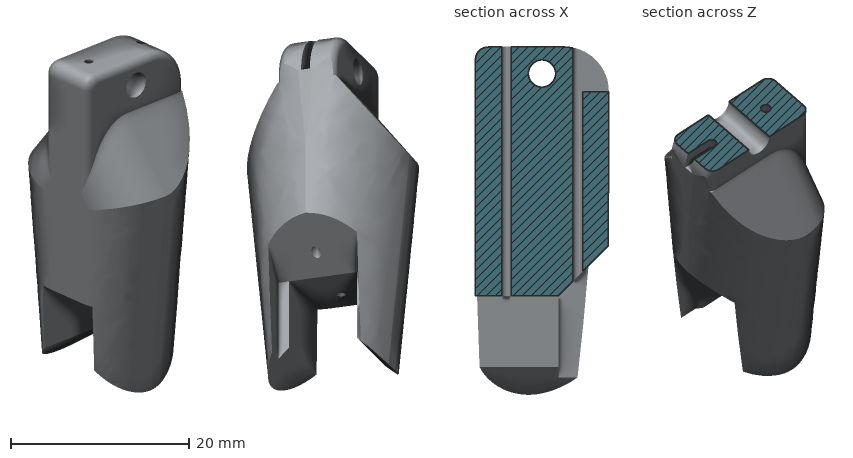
import cadquery as cq
import math

height = 39.02
front_y = -6.0
back_y = 8.97
clearance = 7.8

shoulder_z = 24.9
shoulder_half_width = 9.87
tip_half_width = 7.37
lean = (shoulder_half_width - tip_half_width) / shoulder_z

corner_radius = -front_y
corner_x = shoulder_half_width - corner_radius
back_radius = (corner_x**2 + back_y**2 - corner_radius**2) / (2 * (back_y - corner_radius))
back_center_y = back_y - back_radius

tab_width = 7.0
tab_edge_fillet = 1.0
tab_front_fillet = 1.5
tab_back_radius = 5.0
tab_bottom_z = 19.5

cap_top_z = 32.97
cap_slope = (cap_top_z - shoulder_z) / (shoulder_half_width - tab_width / 2)

notch_half_width = 4.05
notch_top_z = 11.1
leg_inner_rise = 3.12
pocket_half_width = 5.3
pocket_back_z = 16.75

cross_hole_diameter = 3.0
cross_hole_y = 1.5
cross_hole_z = 36.0
cord_diameter = 1.05
cord_front_y = -2.5
cord_back_y = 5.5
cord_groove_floor_z = height - tab_back_radius


def mirrored(half):
    """Join a half with its mirror image across the middle plane."""
    return half.union(half.mirror("YZ"))


def centered_box(half_width, y_min, y_max, z_min, z_max):
    """Box that is symmetric about the middle plane."""
    return cq.Workplane("XY").box(
        2 * half_width, y_max - y_min, z_max - z_min, centered=(True, False, False)
    ).translate((0, y_min, z_min))


def arc_point(center_x, center_y, radius, angle):
    """Point of a section arc at an angle from the X axis."""
    return (center_x + radius * math.cos(angle), center_y + radius * math.sin(angle))


def leaning_half():
    """Right half of the body: the shoulder section swept along the leaning side."""
    blend = math.atan2(-back_center_y, corner_x)
    shift = -lean * shoulder_z
    inner_x = -shoulder_half_width
    section = (
        cq.Workplane("XY")
        .moveTo(inner_x, front_y)
        .lineTo(corner_x, front_y)
        .threePointArc(
            arc_point(corner_x, 0, corner_radius, -math.pi / 4),
            (shoulder_half_width, 0),
        )
        .threePointArc(
            arc_point(corner_x, 0, corner_radius, blend / 2),
            arc_point(corner_x, 0, corner_radius, blend),
        )
        .threePointArc(
            arc_point(0, back_center_y, back_radius, (blend + math.pi / 2) / 2),
            (0, back_y),
        )
        .lineTo(inner_x, back_y)
        .close()
    )
    bottom = section.translate((shift, 0, 0)).wires().val()
    top = bottom.translate(cq.Vector(lean * height, 0, height))
    prism = cq.Workplane(cq.Solid.makeLoft([bottom, top], True))
    right_side = centered_box(2 * shoulder_half_width, front_y, back_y, 0, height).translate(
        (2 * shoulder_half_width, 0, 0)
    )
    return prism.intersect(right_side)


def cap_half():
    """Space under the right slope, with its front edge rounded to the front face."""
    roll_radius = -front_y
    reach = height
    slope_plane = cq.Plane(
        origin=(tab_width / 2, 0, cap_top_z), xDir=(0, 1, 0), normal=(1, 0, -cap_slope)
    )
    profile = (
        cq.Workplane(slope_plane)
        .moveTo(back_y + clearance, 0)
        .lineTo(0, 0)
        .radiusArc((front_y, -roll_radius), -roll_radius)
        .lineTo(front_y, -reach)
        .lineTo(back_y + clearance, -reach)
        .close()
    )
    under_slope = profile.extrude(reach, both=True)
    right_side = centered_box(
        shoulder_half_width, front_y, back_y, 0, cap_top_z
    ).translate((shoulder_half_width, 0, 0))
    return under_slope.intersect(right_side)


def tab():
    """Upright plate with a large rear round and softened edges."""
    plate = centered_box(tab_width / 2, front_y, back_y, tab_bottom_z, height)
    plate = plate.edges(">Y and >Z").fillet(tab_back_radius)
    plate = plate.edges("<Y and >Z").fillet(tab_front_fillet)
    return plate.faces("<X or >X").edges("not <Z").fillet(tab_edge_fillet)


def leg_end_cutter():
    """Wedge below both legs that gives them slanted ends."""
    rise = leg_inner_rise / (tip_half_width - notch_half_width)
    return (
        cq.Workplane("XZ")
        .moveTo(-tip_half_width, 0)
        .lineTo(0, rise * tip_half_width)
        .lineTo(tip_half_width, 0)
        .close()
        .extrude(height, both=True)
    )


def pocket_cutter():
    """Rear pocket, wider than the notch, under a 45 degree ceiling."""
    outer_y = back_y + clearance
    inner_y = back_y - (pocket_back_z - notch_top_z)
    return (
        cq.Workplane("YZ")
        .moveTo(inner_y, 0)
        .lineTo(inner_y, notch_top_z)
        .lineTo(outer_y, pocket_back_z + clearance)
        .lineTo(outer_y, 0)
        .close()
        .extrude(pocket_half_width, both=True)
    )


def cord_cutter():
    """Two upright cord holes and the groove leading from the rear one to the back."""
    holes = (
        cq.Workplane("XY")
        .pushPoints([(0, cord_front_y), (0, cord_back_y)])
        .circle(cord_diameter / 2)
        .extrude(height)
    )
    groove = centered_box(
        cord_diameter / 2, cord_back_y, back_y + clearance, cord_groove_floor_z, height
    )
    return holes.union(groove)


def cross_hole_cutter():
    """Hole through the tab from side to side."""
    return (
        cq.Workplane("YZ")
        .center(cross_hole_y, cross_hole_z)
        .circle(cross_hole_diameter / 2)
        .extrude(tab_width, both=True)
    )


notch = centered_box(
    notch_half_width, front_y - clearance, back_y + clearance, 0, notch_top_z
)

body = mirrored(leaning_half())
envelope = mirrored(cap_half()).union(tab())
result = (
    body.intersect(envelope)
    .cut(leg_end_cutter())
    .cut(notch)
    .cut(pocket_cutter())
    .cut(cross_hole_cutter())
    .cut(cord_cutter())
)